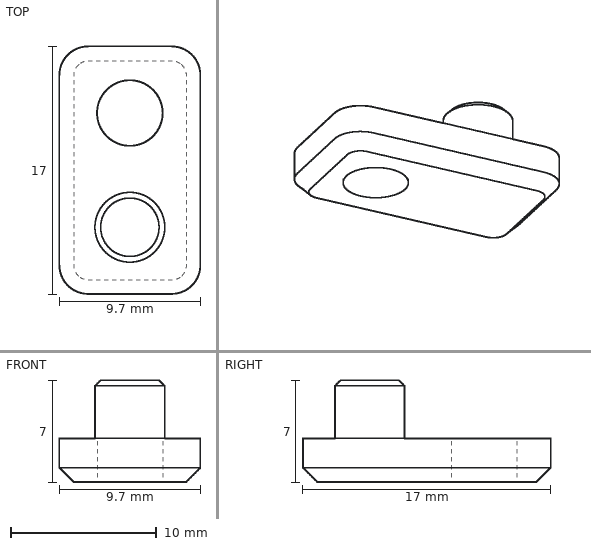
import cadquery as cq

plate_length = 17.03
plate_width = 9.7
plate_thickness = 3.0
corner_radius = 2.0
bottom_chamfer = 0.99

total_height = 7.0
pin_diameter = 4.8
pin_chamfer = 0.4
hole_diameter = 4.5
pin_to_hole = 7.85

pin_height = total_height - plate_thickness


def make_plate():
    """Rounded plate with its lower rim bevelled, standing on Z = 0."""
    plate = cq.Workplane("XY").rect(plate_width, plate_length).extrude(plate_thickness)
    plate = plate.edges("|Z").fillet(corner_radius)
    return plate.faces("<Z").edges().chamfer(bottom_chamfer)


def make_pin():
    """Upright pin on the top face, with a bevelled tip."""
    pin = cq.Workplane("XY", origin=(0, -pin_to_hole / 2, plate_thickness))
    pin = pin.circle(pin_diameter / 2).extrude(pin_height)
    return pin.faces(">Z").edges().chamfer(pin_chamfer)


def make_hole():
    """Cylinder that cuts the through hole."""
    hole = cq.Workplane("XY", origin=(0, pin_to_hole / 2, 0))
    return hole.circle(hole_diameter / 2).extrude(plate_thickness)


result = make_plate().union(make_pin()).cut(make_hole())